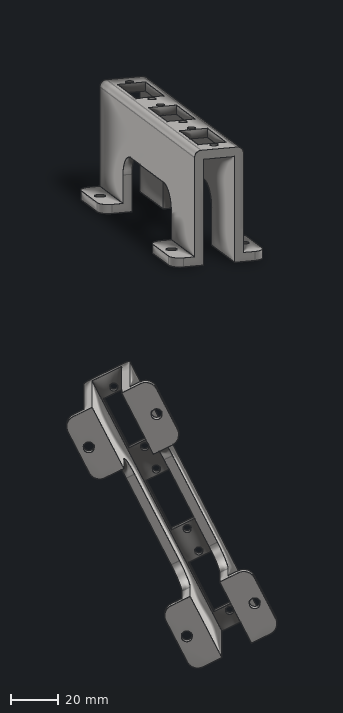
import cadquery as cq

length = 122.5
foot_span = 42.0
height = 50.6
wall = 4.0

body_width = 22.0
top_edge_radius = 3.0

foot_length = 30.0
foot_corner_radius = 5.0
foot_hole_diameter = 4.7
foot_hole_spacing_y = 32.2
arch_height = 26.6
arch_radius = 10.0
arch_width = length - 2 * foot_length

window_count = 3
window_pitch = 40.0
window_length = 24.0
window_width = 12.5
screw_spacing = 29.2
screw_diameter = 3.4


def make_channel():
    """Inverted U running along X, with rounded upper edges."""
    outer = cq.Workplane("XY").box(length, body_width, height, centered=(True, True, False))
    outer = outer.edges("|X and >Z").fillet(top_edge_radius)
    inner = cq.Workplane("XY").box(
        length, body_width - 2 * wall, height - wall, centered=(True, True, False)
    )
    return outer.cut(inner)


def make_arch():
    """Opening through both side walls, rounded at its upper corners."""
    block = cq.Workplane("XY").box(arch_width, foot_span, arch_height, centered=(True, True, False))
    return block.edges("|Y and >Z").fillet(arch_radius)


def make_foot(side_x, side_y):
    """Flange at one corner of the part, with rounded outer corners and a hole."""
    foot_depth = (foot_span - body_width) / 2 + wall
    center_x = side_x * (length - foot_length) / 2
    center_y = side_y * (foot_span - foot_depth) / 2
    outer_side = ">Y" if side_y > 0 else "<Y"
    foot = cq.Workplane("XY").box(foot_length, foot_depth, wall, centered=(True, True, False))
    foot = foot.edges("|Z").edges(outer_side).fillet(foot_corner_radius)
    foot = foot.translate((center_x, center_y, 0))
    hole = (
        cq.Workplane("XY")
        .center(center_x, side_y * foot_hole_spacing_y / 2)
        .circle(foot_hole_diameter / 2)
        .extrude(wall)
    )
    return foot.cut(hole)


def make_top_cutouts():
    """Row of windows and screw holes through the top wall."""
    window_centers = [
        ((index - (window_count - 1) / 2) * window_pitch, 0) for index in range(window_count)
    ]
    screw_centers = [(x + side * screw_spacing / 2, y) for x, y in window_centers for side in (-1, 1)]
    base = cq.Workplane("XY").workplane(offset=height - wall)
    windows = base.pushPoints(window_centers).rect(window_length, window_width).extrude(wall)
    screws = base.pushPoints(screw_centers).circle(screw_diameter / 2).extrude(wall)
    return windows.union(screws)


result = make_channel().cut(make_arch())
for side_x in (-1, 1):
    for side_y in (-1, 1):
        result = result.union(make_foot(side_x, side_y))
result = result.cut(make_top_cutouts())